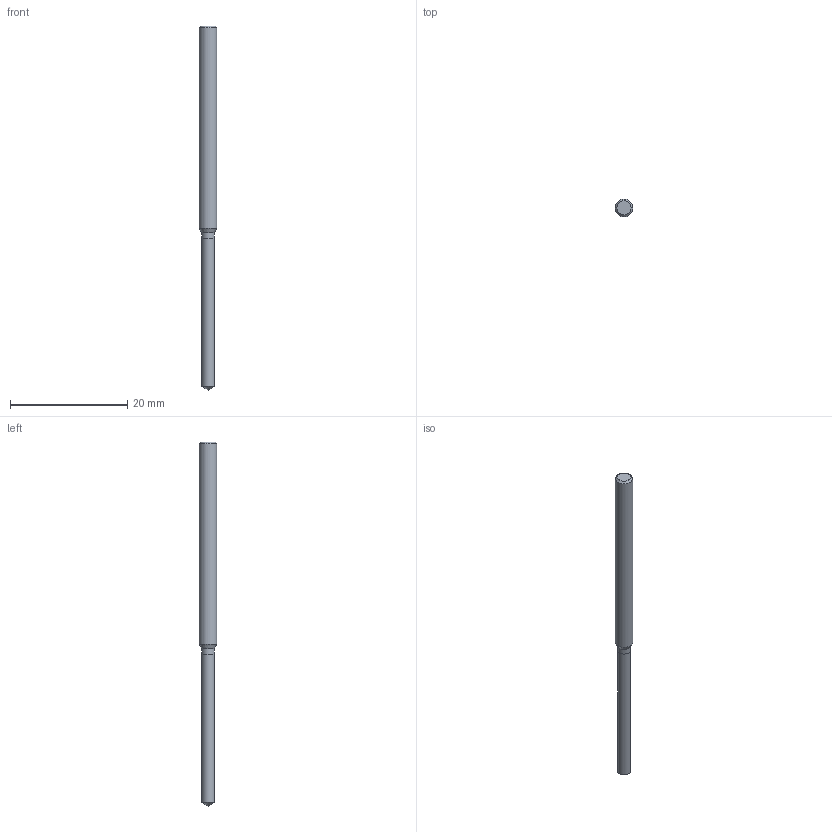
import cadquery as cq
import math

overall_length = 62.0
shank_diameter = 3.0
drill_diameter = 2.2
cutting_length = 25.85
neck_length = 0.95
neck_taper_angle = 28.0
shank_chamfer = 0.3
point_angle = 120.0

shank_radius = shank_diameter / 2
drill_radius = drill_diameter / 2
point_height = drill_radius / math.tan(math.radians(point_angle / 2))
neck_top = cutting_length + neck_length
taper_height = (shank_radius - drill_radius) / math.tan(math.radians(neck_taper_angle))
shank_bottom = neck_top + taper_height


def turned_body(profile):
    """Revolve a closed (radius, height) profile around the Z axis."""
    return cq.Workplane("XZ").polyline(profile).close().revolve(360, (0, 0), (0, 1))


cutting_part = turned_body([
    (0, 0),
    (drill_radius, point_height),
    (drill_radius, cutting_length),
    (0, cutting_length),
])

shank = turned_body([
    (0, cutting_length),
    (drill_radius, cutting_length),
    (drill_radius, neck_top),
    (shank_radius, shank_bottom),
    (shank_radius, overall_length - shank_chamfer),
    (shank_radius - shank_chamfer, overall_length),
    (0, overall_length),
])

result = cq.Compound.makeCompound([cutting_part.val(), shank.val()])